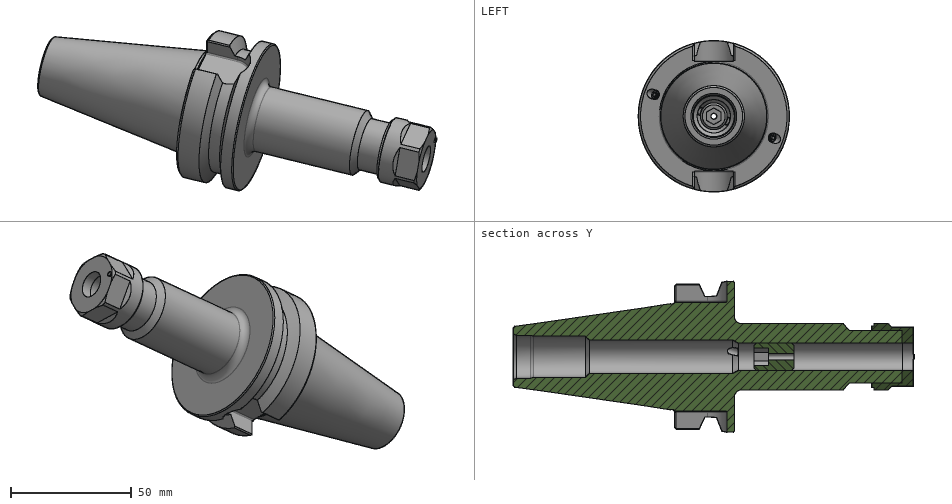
import cadquery as cq
import math

LENGTH = 167.0
HEX_SIDES = 6

TAPER_END_X = 65.5
TAPER_LARGE_R = 22.2
TAPER_RATIO = 7 / 24
TAPER_SMALL_R = TAPER_LARGE_R - TAPER_END_X * TAPER_RATIO / 2
TIP_CHAMFER = 0.7
NECK_R = 22.0
NECK_FILLET = 0.7

FLANGE_X = 67.1
FLANGE_END_X = 92.2
FLANGE_R = 63.0 / 2
GROOVE_START_X = 77.3
GROOVE_FLOOR_START_X = 79.8
GROOVE_FLOOR_END_X = 84.7
GROOVE_END_X = 86.8
GROOVE_R = 26.4
FRONT_CHAMFER = 1.0
REAR_CHAMFER = 0.5

NOSE_R = 13.9
NOSE_FILLET = 3.0
NOSE_END_X = 137.5
STUB_R = 11.0
STUB_CONE_LENGTH = 2.5
STUB_END_X = 162.0

PILOT_R = 8.9
MOUTH_R = 9.5
MOUTH_DEPTH = 1.5
PILOT_END_X = 7.3
PILOT_CONE_LENGTH = 1.2
THREAD_R = 8.5
THREAD_END_X = 30.0
THREAD_CONE_LENGTH = 1.7
CORE_R = 13.9 / 2
CORE_END_X = 91.3
SCREW_BORE_R = 11.2 / 2
SCREW_BORE_CONE_LENGTH = 2.5

SLOT_WIDTH = 16.2
SLOT_FLOOR_Z = 22.7
SLOT_END_X = 89.0
SLOT_FLOOR_FILLET = 0.5
SLOT_EDGE_CHAMFER = 0.7

COOLANT_ANGLE = 20.0
COOLANT_SLANT = 39.0
COOLANT_RADIUS = 26.9
PLUG_HOLE_D = 4.0
PASSAGE_D = 3.3
PLUG_DEPTH = 1.3
PLUG_LENGTH = 4.0
PLUG_CHAMFER = 0.3
PLUG_SOCKET_ACROSS_FLATS = 2.0
PLUG_SOCKET_DEPTH = 1.7

STOP_X = 100.2
STOP_LENGTH = 16.7
STOP_R = SCREW_BORE_R
STOP_CHAMFER = 0.8
STOP_HOLE_D = 2.3
STOP_SOCKET_ACROSS_FLATS = 6.0
STOP_SOCKET_DEPTH = 6.0

NUT_X = 149.1
NUT_R = 13.9
NUT_COLLAR_R = 12.9
NUT_COLLAR_LENGTH = 1.0
NUT_END_CHAMFER_LENGTH = 0.7
NUT_END_R = 12.5
NUT_PIP_D = 2.0
NUT_PIP_Y = 11.4
NUT_PIP_HEIGHT = 0.5
NUT_END_X = LENGTH - NUT_PIP_HEIGHT
NUT_ACROSS_FLATS = 24.7
NUT_FLAT_X = 157.5
NUT_LONG_FLAT_X = 156.0
NUT_LONG_FLAT = 1


def turned(profile):
    """Revolve a closed (x, radius) profile about the X axis."""
    return profile.close().revolve(360, (0, 0, 0), (1, 0, 0))


def across_corners(across_flats):
    """Corner-to-corner width of a hexagon."""
    return across_flats / math.cos(math.pi / HEX_SIDES)


def holder_blank():
    """Solid turned outline of the holder."""
    profile = (
        cq.Workplane("XY")
        .moveTo(0, 0)
        .lineTo(0, TAPER_SMALL_R - TIP_CHAMFER)
        .lineTo(TIP_CHAMFER, TAPER_SMALL_R + TIP_CHAMFER * TAPER_RATIO / 2)
        .lineTo(TAPER_END_X, TAPER_LARGE_R)
        .lineTo(TAPER_END_X, NECK_R)
        .lineTo(FLANGE_X - NECK_FILLET, NECK_R)
        .radiusArc((FLANGE_X, NECK_R + NECK_FILLET), -NECK_FILLET)
        .lineTo(FLANGE_X, FLANGE_R - FRONT_CHAMFER)
        .lineTo(FLANGE_X + FRONT_CHAMFER, FLANGE_R)
        .lineTo(GROOVE_START_X, FLANGE_R)
        .lineTo(GROOVE_FLOOR_START_X, GROOVE_R)
        .lineTo(GROOVE_FLOOR_END_X, GROOVE_R)
        .lineTo(GROOVE_END_X, FLANGE_R)
        .lineTo(FLANGE_END_X - REAR_CHAMFER, FLANGE_R)
        .lineTo(FLANGE_END_X, FLANGE_R - REAR_CHAMFER)
        .lineTo(FLANGE_END_X, NOSE_R + NOSE_FILLET)
        .radiusArc((FLANGE_END_X + NOSE_FILLET, NOSE_R), -NOSE_FILLET)
        .lineTo(NOSE_END_X, NOSE_R)
        .lineTo(NOSE_END_X + STUB_CONE_LENGTH, STUB_R)
        .lineTo(STUB_END_X, STUB_R)
        .lineTo(STUB_END_X, 0)
    )
    return turned(profile)


def central_bore():
    """Stepped bore right through the holder."""
    profile = (
        cq.Workplane("XY")
        .moveTo(0, 0)
        .lineTo(0, MOUTH_R)
        .lineTo(MOUTH_DEPTH, PILOT_R)
        .lineTo(PILOT_END_X, PILOT_R)
        .lineTo(PILOT_END_X + PILOT_CONE_LENGTH, THREAD_R)
        .lineTo(THREAD_END_X, THREAD_R)
        .lineTo(THREAD_END_X + THREAD_CONE_LENGTH, CORE_R)
        .lineTo(CORE_END_X, CORE_R)
        .lineTo(CORE_END_X + SCREW_BORE_CONE_LENGTH, SCREW_BORE_R)
        .lineTo(STUB_END_X, SCREW_BORE_R)
        .lineTo(STUB_END_X, 0)
    )
    return turned(profile)


def driving_slot():
    """Round-ended slot cutter above the floor height, with a rounded floor edge."""
    half_width = SLOT_WIDTH / 2
    arc_center_x = SLOT_END_X - half_width
    start_x = TAPER_END_X
    return (
        cq.Workplane("XY", origin=(0, 0, SLOT_FLOOR_Z))
        .moveTo(start_x, -half_width)
        .lineTo(arc_center_x, -half_width)
        .threePointArc((SLOT_END_X, 0), (arc_center_x, half_width))
        .lineTo(start_x, half_width)
        .close()
        .extrude(FLANGE_R)
        .edges("<Z")
        .edges("not <X")
        .fillet(SLOT_FLOOR_FILLET)
    )


def slot_rim_bevel(side):
    """Wedge that bevels the rim of the front flange along the +Y or -Y slot wall."""
    wall_y = SLOT_WIDTH / 2
    rim_z = math.sqrt(FLANGE_R**2 - wall_y**2)
    size = SLOT_EDGE_CHAMFER
    return (
        cq.Workplane("YZ", origin=(FLANGE_X, 0, 0))
        .polyline([
            (side * (wall_y - size), rim_z - 2 * size),
            (side * (wall_y + 2 * size), rim_z + size),
            (side * (wall_y - size), rim_z + size),
        ])
        .close()
        .extrude(GROOVE_FLOOR_START_X - FLANGE_X)
    )


def slot_mouth_bevel(side):
    """Wedge that bevels the front face of the flange along the +Y or -Y slot wall."""
    wall_y = SLOT_WIDTH / 2
    size = SLOT_EDGE_CHAMFER
    return (
        cq.Workplane("XY", origin=(0, 0, SLOT_FLOOR_Z + SLOT_FLOOR_FILLET))
        .polyline([
            (FLANGE_X + size, side * wall_y),
            (FLANGE_X, side * (wall_y + size)),
            (FLANGE_X, side * wall_y),
        ])
        .close()
        .extrude(FLANGE_R - SLOT_FLOOR_Z)
    )


def coolant_plane(side):
    """Plane at a hole mouth on the flange face, its normal slanting in towards the bore."""
    angle = math.radians(COOLANT_ANGLE)
    slant = math.radians(COOLANT_SLANT)
    out_y = side * math.cos(angle)
    out_z = side * math.sin(angle)
    return cq.Plane(
        origin=(FLANGE_X, COOLANT_RADIUS * out_y, COOLANT_RADIUS * out_z),
        xDir=(0, -out_z, out_y),
        normal=(math.cos(slant), -math.sin(slant) * out_y, -math.sin(slant) * out_z),
    )


def coolant_hole(side):
    """Plug seat followed by a narrower passage that meets the central bore."""
    plane = coolant_plane(side)
    plug_end = PLUG_DEPTH + PLUG_LENGTH
    lead_in = PLUG_HOLE_D
    passage_length = (COOLANT_RADIUS - SCREW_BORE_R) / math.sin(math.radians(COOLANT_SLANT))
    plug_seat = (
        cq.Workplane(plane)
        .workplane(offset=-lead_in)
        .circle(PLUG_HOLE_D / 2)
        .extrude(lead_in + plug_end)
    )
    passage = cq.Workplane(plane).circle(PASSAGE_D / 2).extrude(passage_length)
    return plug_seat.union(passage)


def make_holder():
    """Taper shank, flange and nose in one body."""
    holder = holder_blank().cut(central_bore())
    slot_cutters = [driving_slot()]
    for side in (1, -1):
        slot_cutters += [slot_rim_bevel(side), slot_mouth_bevel(side)]
    for turn in (0, 180):
        for cutter in slot_cutters:
            holder = holder.cut(cutter.rotate((0, 0, 0), (1, 0, 0), turn))
    for side in (1, -1):
        holder = holder.cut(coolant_hole(side))
    return holder


def make_plug(side):
    """Socket set screw closing one coolant hole."""
    body = (
        cq.Workplane(coolant_plane(side))
        .workplane(offset=PLUG_DEPTH)
        .circle(PLUG_HOLE_D / 2)
        .extrude(PLUG_LENGTH)
        .faces("<X")
        .chamfer(PLUG_CHAMFER)
    )
    socket = (
        cq.Workplane(coolant_plane(side))
        .workplane(offset=PLUG_DEPTH)
        .polygon(HEX_SIDES, across_corners(PLUG_SOCKET_ACROSS_FLATS))
        .extrude(PLUG_SOCKET_DEPTH)
    )
    return body.cut(socket)


def make_stop_screw():
    """Hollow screw with a hexagon socket facing the taper end."""
    body = (
        cq.Workplane("YZ", origin=(STOP_X, 0, 0))
        .circle(STOP_R)
        .extrude(STOP_LENGTH)
        .edges()
        .chamfer(STOP_CHAMFER)
    )
    socket = (
        cq.Workplane("YZ", origin=(STOP_X, 0, 0))
        .transformed(rotate=(0, 0, 90))
        .polygon(HEX_SIDES, across_corners(STOP_SOCKET_ACROSS_FLATS))
        .extrude(STOP_SOCKET_DEPTH)
    )
    hole = cq.Workplane("YZ", origin=(STOP_X, 0, 0)).circle(STOP_HOLE_D / 2).extrude(STOP_LENGTH)
    return body.cut(socket).cut(hole)


def nut_blank():
    """Turned nut with a recess for the stub and an opening as wide as the bore."""
    profile = (
        cq.Workplane("XY")
        .moveTo(NUT_X, STUB_R)
        .lineTo(NUT_X, NUT_COLLAR_R)
        .lineTo(NUT_X + NUT_COLLAR_LENGTH, NUT_COLLAR_R)
        .lineTo(NUT_X + NUT_COLLAR_LENGTH, NUT_R)
        .lineTo(NUT_END_X - NUT_END_CHAMFER_LENGTH, NUT_R)
        .lineTo(NUT_END_X, NUT_END_R)
        .lineTo(NUT_END_X, SCREW_BORE_R)
        .lineTo(STUB_END_X, SCREW_BORE_R)
        .lineTo(STUB_END_X, STUB_R)
    )
    return turned(profile)


def flat_cutter(start_x):
    """Cutter for the +Z flat, running out at 45 degrees behind start_x."""
    flat_z = NUT_ACROSS_FLATS / 2
    rise = 2 * (NUT_R - flat_z)
    return (
        cq.Workplane("XZ", origin=(0, NUT_R, 0))
        .polyline([
            (start_x, flat_z),
            (start_x - rise, flat_z + rise),
            (LENGTH, flat_z + rise),
            (LENGTH, flat_z),
        ])
        .close()
        .extrude(2 * NUT_R)
    )


def nut_pip():
    """Small raised mark on the end face, in line with a hexagon corner."""
    return (
        cq.Workplane("YZ", origin=(NUT_END_X, 0, 0))
        .center(NUT_PIP_Y, 0)
        .circle(NUT_PIP_D / 2)
        .extrude(NUT_PIP_HEIGHT)
    )


def make_nut():
    """Hexagon nut whose flats stop short of the collar; one flat is longer."""
    nut = nut_blank()
    for index in range(HEX_SIDES):
        start_x = NUT_LONG_FLAT_X if index == NUT_LONG_FLAT else NUT_FLAT_X
        turn = -index * 360 / HEX_SIDES
        nut = nut.cut(flat_cutter(start_x).rotate((0, 0, 0), (1, 0, 0), turn))
    return nut.union(nut_pip())


holder = make_holder()
stop_screw = make_stop_screw()
nut = make_nut()
plugs = [make_plug(side).val() for side in (1, -1)]

result = cq.Compound.makeCompound([holder.val(), stop_screw.val(), nut.val(), *plugs])